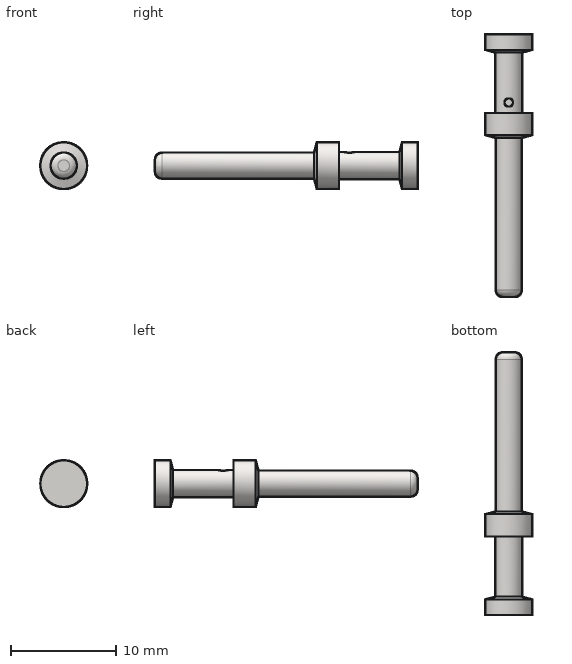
import cadquery as cq
import math

length = 25.0
flange_diameter = 4.48
neck_diameter = 2.6
pin_diameter = 2.5
tip_radius = 0.7
cone_angle = 15.0

head_rim_end = 1.5
collar_start = 7.48
collar_rim_end = 9.6

hole_diameter = 0.8
hole_from_head = 6.5

head_end_y = length / 2


def cylinder(diameter, start, end):
    """Cylinder on the Y axis between two distances from the head end."""
    plane = cq.Workplane("XZ", origin=(0, head_end_y - start, 0))
    return plane.circle(diameter / 2).extrude(end - start)


def flange(start, rim_end, inner_diameter):
    """Disc whose front face slopes from the rim down to the inner diameter."""
    rim_radius = flange_diameter / 2
    inner_radius = inner_diameter / 2
    cone_length = (rim_radius - inner_radius) * math.tan(math.radians(cone_angle))
    rim_end_y = head_end_y - rim_end
    profile = [
        (0, head_end_y - start),
        (rim_radius, head_end_y - start),
        (rim_radius, rim_end_y),
        (inner_radius, rim_end_y - cone_length),
        (0, rim_end_y - cone_length),
    ]
    return cq.Workplane("XY").polyline(profile).close().revolve(360, (0, 0, 0), (0, 1, 0))


head = flange(0, head_rim_end, neck_diameter)
neck = cylinder(neck_diameter, head_rim_end, collar_rim_end)
collar = flange(collar_start, collar_rim_end, pin_diameter)
pin = cylinder(pin_diameter, collar_rim_end, length).faces("<Y").edges().fillet(tip_radius)

inspection_hole = (
    cq.Workplane("XY", origin=(0, head_end_y - hole_from_head, 0))
    .circle(hole_diameter / 2)
    .extrude(neck_diameter)
)

result = head.union(neck).union(collar).union(pin).cut(inspection_hole)